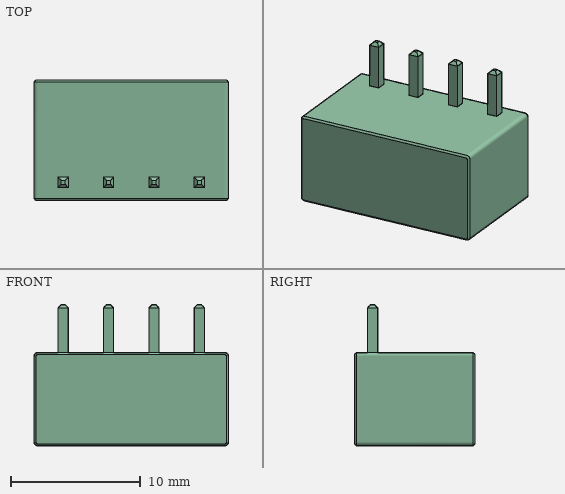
import cadquery as cq

body_length = 15.0
body_width = 9.3
body_height = 7.2
long_edge_radius = 0.3
face_chamfer = 0.15

pin_count = 4
pin_pitch = 3.5
pin_side = 0.8
pin_height = 3.7
pin_tip_chamfer = 0.25
pin_row_inset = 1.4


def make_body():
    """Block with rounded Y-direction edges and bevelled end-face rims."""
    block = cq.Workplane("XY").box(body_length, body_width, body_height, centered=(True, True, False))
    rounded = block.edges("|Y").fillet(long_edge_radius)
    return rounded.faces("<Y or >Y").edges().chamfer(face_chamfer)


def make_pin(x):
    """Square post with a blunt four-sided tip, centred at the given X."""
    row_y = pin_row_inset - body_width / 2
    post = cq.Workplane("XY").box(pin_side, pin_side, pin_height, centered=(True, True, False))
    pointed = post.faces(">Z").edges().chamfer(pin_tip_chamfer)
    return pointed.translate((x, row_y, body_height))


result = make_body()
first_pin_x = -pin_pitch * (pin_count - 1) / 2
for pin_index in range(pin_count):
    result = result.union(make_pin(first_pin_x + pin_index * pin_pitch))